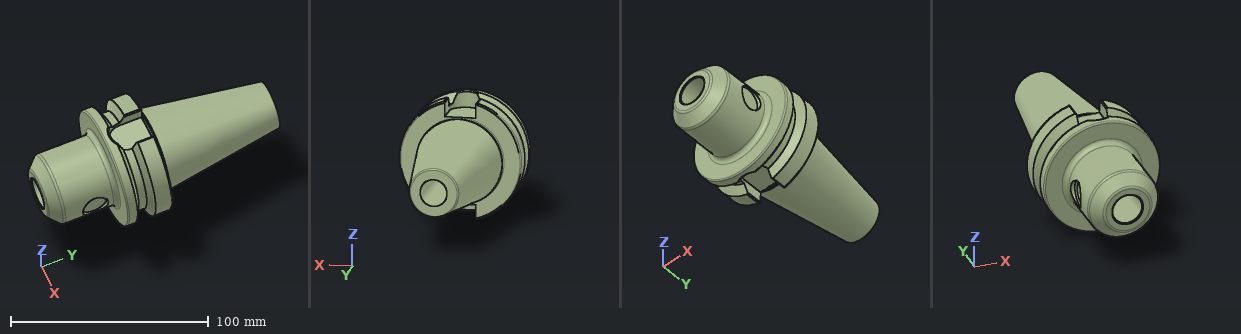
import cadquery as cq
total_length = 128.4

taper_length = 65.4
gauge_diameter = 44.4
taper_ratio = 7 / 24
shank_edge_radius = 0.8
neck_diameter = 43.5
neck_step = 0.6
neck_root_fillet = 0.8

flange_diameter = 63.0
flange_back = -2.0
flange_front = -27.0
flange_edge_radius = 0.8
groove_middle = -16.5
groove_floor_diameter = 52.9
groove_floor_width = 4.4
groove_mouth_width = 10.0
groove_overshoot = 1.3

slot_width = 16.0
slot_floor_height = 22.6
slot_end = -23.0
slot_chamfer = 0.8

nose_diameter = 38.1
nose_root_fillet = 2.7
nose_taper = 6.4
nose_edge_radius = 1.9

tool_bore_diameter = 15.9
tool_bore_mouth_diameter = 17.0
tool_bore_depth = 47.5
through_bore_diameter = 13.9

screw_position = -39.3
screw_diameter = 11.3
screw_recess_diameter = 14.0
screw_recess_floor = 16.8
screw_cone_depth = 0.8

selection_margin = 0.1

nose_end = taper_length - total_length
flange_radius = flange_diameter / 2
nose_radius = nose_diameter / 2


def revolve_outline(points):
    """Revolve a closed outline of (radius, Y) points about the Y axis."""
    return cq.Workplane("XY").polyline(points).close().revolve(360, (0, 0), (0, 1))


def make_shank():
    neck_radius = neck_diameter / 2
    gauge_radius = gauge_diameter / 2
    end_radius = gauge_radius - taper_length * taper_ratio / 2
    shank = revolve_outline([
        (0, flange_back),
        (neck_radius, flange_back),
        (neck_radius, -neck_step),
        (gauge_radius, 0),
        (end_radius, taper_length),
        (0, taper_length),
    ])
    return shank.faces(">Y").edges().fillet(shank_edge_radius)


def make_nose():
    """Nose with a 45 degree taper whose two edges are rounded."""
    nose = revolve_outline([
        (0, flange_front),
        (nose_radius, flange_front),
        (nose_radius, nose_end + nose_taper),
        (nose_radius - nose_taper, nose_end),
        (0, nose_end),
    ])
    taper_edges = cq.selectors.BoxSelector(
        (-nose_radius, nose_end - selection_margin, -nose_radius),
        (nose_radius, nose_end + nose_taper + selection_margin, nose_radius),
    )
    return nose.edges("%CIRCLE").edges(taper_edges).fillet(nose_edge_radius)


def slot_cutter(side):
    """Round-ended drive slot, open towards the taper; side is +1 or -1 along Z."""
    end_center = slot_end + slot_width / 2
    straight_length = flange_back - end_center
    straight = cq.Workplane("XY").box(
        slot_width, straight_length, flange_radius, centered=(True, False, False)
    ).translate((0, end_center, 0))
    round_end = cq.Workplane("XY").center(0, end_center).circle(slot_width / 2).extrude(flange_radius)
    cutter = straight.union(round_end).translate((0, 0, slot_floor_height))
    return cutter if side > 0 else cutter.mirror("XY")


def make_flange():
    thickness = flange_back - flange_front
    flange = cq.Workplane("XZ", origin=(0, flange_back, 0)).circle(flange_radius).extrude(thickness)
    rounded = flange.edges().fillet(flange_edge_radius)
    rim_bottom = slot_floor_height + selection_margin
    for side in (1, -1):
        flange = flange.cut(slot_cutter(side))
        rim_heights = sorted((side * rim_bottom, side * flange_radius))
        rim = cq.selectors.BoxSelector(
            (-slot_width, slot_end - selection_margin, rim_heights[0]),
            (slot_width, flange_back - flange_edge_radius - selection_margin, rim_heights[1]),
        )
        flange = flange.edges(rim).chamfer(slot_chamfer)
    return rounded.cut(groove_cutter()).intersect(flange)


def groove_cutter():
    """V-shaped ring cutter that reaches a little past the flange rim."""
    outer_radius = flange_radius + groove_overshoot
    floor_radius = groove_floor_diameter / 2
    half_floor = groove_floor_width / 2
    half_mouth = groove_mouth_width / 2
    return revolve_outline([
        (floor_radius, groove_middle - half_floor),
        (flange_radius, groove_middle - half_mouth),
        (outer_radius, groove_middle - half_mouth),
        (outer_radius, groove_middle + half_mouth),
        (flange_radius, groove_middle + half_mouth),
        (floor_radius, groove_middle + half_floor),
    ])


def fillet_root(body, root_radius, root_position, fillet_radius):
    """Fillet the circular corner of the given radius and position along Y."""
    reach = root_radius + selection_margin
    root = cq.selectors.BoxSelector(
        (-reach, root_position - selection_margin, -reach),
        (reach, root_position + selection_margin, reach),
        boundingbox=True,
    )
    return body.edges(root).fillet(fillet_radius)


def bore_cutter():
    """Tool bore with a chamfered mouth, followed by the bore through the taper."""
    mouth_radius = tool_bore_mouth_diameter / 2
    tool_radius = tool_bore_diameter / 2
    through_radius = through_bore_diameter / 2
    tool_bore_end = nose_end + tool_bore_depth
    return revolve_outline([
        (0, nose_end),
        (mouth_radius, nose_end),
        (tool_radius, nose_end + mouth_radius - tool_radius),
        (tool_radius, tool_bore_end),
        (through_radius, tool_bore_end),
        (through_radius, taper_length),
        (0, taper_length),
    ])


def screw_cutter():
    """Screw hole into the bore from -X: a recess, a short cone, then the hole."""
    recess_radius = screw_recess_diameter / 2
    hole_radius = screw_diameter / 2
    cone_end = screw_recess_floor - screw_cone_depth
    return (
        cq.Workplane("XY")
        .polyline([
            (0, 0),
            (0, hole_radius),
            (-cone_end, hole_radius),
            (-screw_recess_floor, recess_radius),
            (-nose_radius, recess_radius),
            (-nose_radius, 0),
        ])
        .close()
        .revolve(360, (0, 0), (1, 0))
        .translate((0, screw_position, 0))
    )


def opposite_recess_cutter():
    """Shallow flat-bottomed recess on the +X side of the nose."""
    return (
        cq.Workplane("YZ", origin=(screw_recess_floor, screw_position, 0))
        .circle(screw_recess_diameter / 2)
        .extrude(nose_radius - screw_recess_floor)
    )


holder = make_flange().union(make_shank()).union(make_nose())
holder = fillet_root(holder, nose_radius, flange_front, nose_root_fillet)
holder = fillet_root(holder, neck_diameter / 2, flange_back, neck_root_fillet)
result = holder.cut(bore_cutter()).cut(screw_cutter()).cut(opposite_recess_cutter())